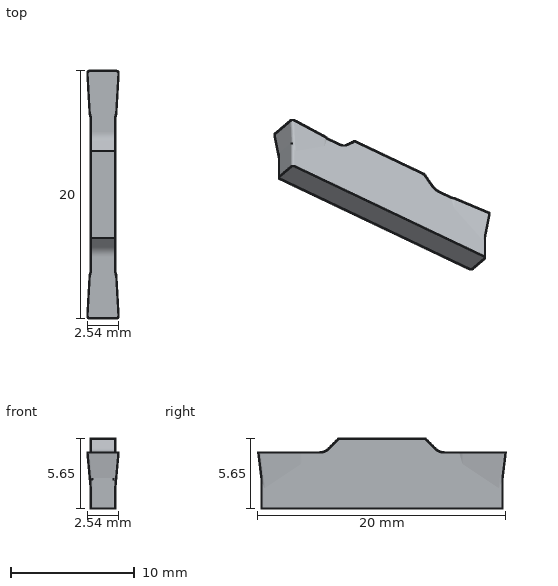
import cadquery as cq
import math

length = 20.03
height = 5.65
body_width = 2.0
land_height = 4.55
corner_radius = 0.2

relief_start_height = 2.46
front_relief = math.tan(math.radians(7))
front_setback = (land_height - relief_start_height) * front_relief
body_length = length - 2 * front_setback

plateau_half_length = 3.5
ramp_run = height - land_height
ramp_blend_radius = 1.0

tip_half_width = 1.28
side_taper = 0.057
side_relief = 0.085
flank_length = 3.49
flank_end_radius = 0.3
head_length = 3.77
head_bottom = 1.2


def make_body():
    end = body_length / 2
    ramp_foot = plateau_half_length + ramp_run
    body = (
        cq.Workplane("YZ")
        .polyline([
            (-end, 0),
            (end, 0),
            (end, land_height),
            (ramp_foot, land_height),
            (plateau_half_length, height),
            (-plateau_half_length, height),
            (-ramp_foot, land_height),
            (-end, land_height),
        ])
        .close()
        .extrude(body_width / 2, both=True)
    )
    for side in (-1, 1):
        foot_point = (0, side * ramp_foot, land_height)
        body = body.edges(cq.selectors.NearestToPointSelector(foot_point)).fillet(ramp_blend_radius)
    return body.edges("|Z").fillet(corner_radius)


def head_section(z):
    """Horizontal outline of the -Y head at height z."""
    drop = land_height - z
    tip_y = -length / 2 + drop * front_relief
    flank_end_y = -length / 2 + flank_length
    root_y = -length / 2 + head_length
    inset = drop * side_relief
    flank_end_half_width = tip_half_width - flank_length * side_taper - inset
    right_side = [
        (tip_half_width - drop * front_relief * side_taper - inset, tip_y),
        (flank_end_half_width, flank_end_y),
        (body_width / 2 - inset, root_y),
    ]
    left_side = [(-x, y) for x, y in reversed(right_side)]
    return cq.Wire.makePolygon([cq.Vector(x, y, z) for x, y in right_side + left_side], close=True)


def make_head():
    sections = [head_section(head_bottom), head_section(land_height)]
    head = cq.Workplane(obj=cq.Solid.makeLoft(sections, True))
    front_corners = head.faces("<Y").edges("not #Z")
    head = front_corners.fillet(corner_radius)
    for side in (-1, 1):
        flank_end_point = (side * body_width / 2, -length / 2 + flank_length, (head_bottom + land_height) / 2)
        flank_end_edge = head.edges(cq.selectors.NearestToPointSelector(flank_end_point))
        head = flank_end_edge.fillet(flank_end_radius)
    return head


head = make_head()
result = make_body().union(head).union(head.mirror("XZ"))